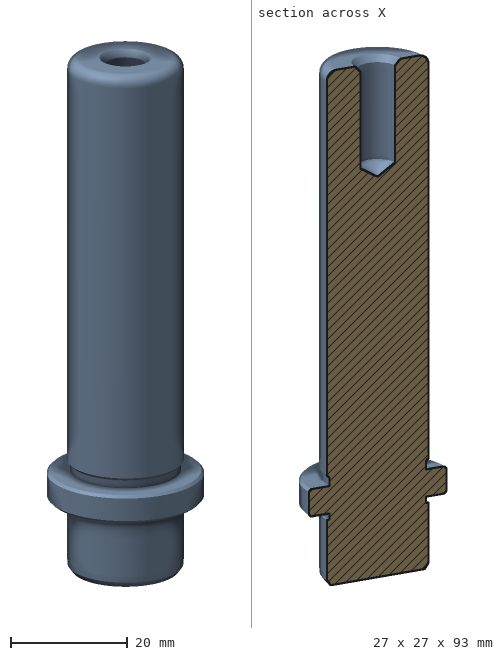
import cadquery as cq
import math

total_height = 93.0
body_diameter = 20.0
body_radius = body_diameter / 2
top_round = 1.95

flange_radius = 13.5
flange_bottom = 13.0
flange_top = 18.0
flange_chamfer = 0.5

groove_radius = 9.5
groove_depth = body_radius - groove_radius
lower_groove_bottom = 12.0
upper_groove_top = 20.0

foot_radius = 9.2
foot_chamfer_height = 1.0
lead_height = 2.0
lead_taper = 0.05
lead_radius = body_radius - lead_taper

hole_radius = 3.35
hole_depth = 18.6
mouth_radius = 4.5
mouth_depth = mouth_radius - hole_radius
drill_point_angle = 118.0
drill_point_depth = hole_radius / math.tan(math.radians(drill_point_angle / 2))


def make_pin():
    """Revolve the outer half-profile around the Z axis."""
    round_start = total_height - top_round
    round_center_radius = body_radius - top_round
    round_offset = top_round * math.sqrt(0.5)
    profile = (
        cq.Workplane("XZ")
        .lineTo(foot_radius, 0)
        .lineTo(lead_radius, foot_chamfer_height)
        .lineTo(body_radius, lead_height)
        .lineTo(body_radius, lower_groove_bottom)
        .lineTo(groove_radius, lower_groove_bottom)
        .lineTo(groove_radius, flange_bottom)
        .lineTo(flange_radius - flange_chamfer, flange_bottom)
        .lineTo(flange_radius, flange_bottom + flange_chamfer)
        .lineTo(flange_radius, flange_top - flange_chamfer)
        .lineTo(flange_radius - flange_chamfer, flange_top)
        .lineTo(groove_radius, flange_top)
        .lineTo(groove_radius, upper_groove_top - groove_depth)
        .lineTo(body_radius, upper_groove_top)
        .lineTo(body_radius, round_start)
        .threePointArc(
            (round_center_radius + round_offset, round_start + round_offset),
            (round_center_radius, total_height),
        )
        .lineTo(0, total_height)
        .close()
    )
    return profile.revolve(360, (0, 0), (0, 1))


def make_hole():
    """Revolve the shape of the blind hole around the Z axis."""
    hole_bottom = total_height - hole_depth
    profile = (
        cq.Workplane("XZ")
        .moveTo(0, total_height)
        .lineTo(mouth_radius, total_height)
        .lineTo(hole_radius, total_height - mouth_depth)
        .lineTo(hole_radius, hole_bottom)
        .lineTo(0, hole_bottom - drill_point_depth)
        .close()
    )
    return profile.revolve(360, (0, 0), (0, 1))


result = make_pin().cut(make_hole())